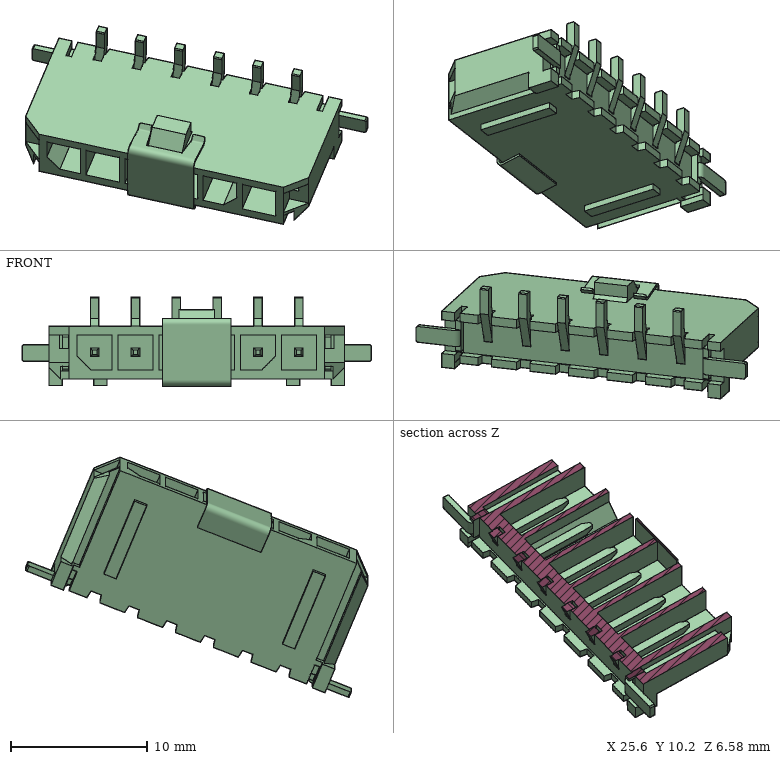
import cadquery as cq
import math


HOUSING_LENGTH = 21.73
HOUSING_DEPTH = 9.88
HOUSING_HEIGHT = 3.9
HALF_LENGTH = HOUSING_LENGTH / 2
CONTACT_Z = 1.98
CORNER_CUT = 1.5
EDGE_CHAMFER = 0.87

PIN_COUNT = 6
PITCH = 3.0
PIN_WIDTH = 0.65
CAVITY_SIZE = 2.56
CAVITY_DEPTH = 7.7
KEY_CHAMFER = 1.0
LEFT_KEYED = 0
RIGHT_KEYED = 4

PIN_TIP_Y = 2.56
TIP_LENGTH = 0.67
TIP_WIDTH = PIN_WIDTH / 2
PIN_REAR_Y = HOUSING_DEPTH + 0.1
PIN_TAIL_FRONT_Y = PIN_REAR_Y - 0.7
PIN_TOP_Z = 6.03
PIN_TOP_CHAMFER = 0.08
GUSSET_TOP_Z = 4.46
HEEL_TOP_Z = 4.08
PIN_SLOT_FRONT_Y = 8.5
FUNNEL_DEPTH = 0.6
FUNNEL_OUTER_WIDTH = 1.03
FUNNEL_INNER_WIDTH = 0.82

POCKET_FLOOR_Z = 1.23
POCKET_TOP_Z = 3.23
SIDE_WALL_X = HALF_LENGTH - CORNER_CUT
TAB_HOLE_WIDTH = 0.72
TAB_HOLE_FLOOR_Z = 2.25
CHANNEL_HEIGHT = 0.95
CHANNEL_OUTER_X = HALF_LENGTH - EDGE_CHAMFER

FOOT_DROP = 0.45
REAR_FOOT_DEPTH = 1.95
REAR_FOOT_WIDTH = 1.0
RAIL_WIDTH = 0.97
RAIL_CENTRE_X = 7.08
RAIL_FRONT_Y = 1.65
RAIL_REAR_Y = 7.62

TAB_TIP_X = 12.82
TAB_THICKNESS = 0.44
TAB_HEIGHT = 1.23
TAB_CENTRE_Z = 1.92
TAB_REAR_Y = PIN_REAR_Y
TAB_TIP_CHAMFER = 0.1
TAB_OUTER_RADIUS = 0.44
TAB_INNER_RADIUS = 0.33
BLADE_OUTER_X = 9.85
BLADE_INNER_X = BLADE_OUTER_X - TAB_THICKNESS
BLADE_REAR_Y = 9.7
BLADE_FLOOR_Z = 0.62
BLADE_REAR_FLOOR_Z = 0.85
BLADE_LEAD_IN = 0.13
BLADE_CORNER = 0.13
TAB_SLOT_FRONT_Y = 8.3
GROOVE_DEPTH = 0.72
GROOVE_FRONT_Y = HOUSING_DEPTH - GROOVE_DEPTH
GROOVE_FLOOR_Z = BLADE_FLOOR_Z

LATCH_WIDTH = 2.6
LATCH_TOP_Z = 5.1
LATCH_FRONT_Y = 0.77
LATCH_REAR_Y = 3.25
LATCH_ROOT = 0.28

CLIP_WIDTH = 5.05
CLIP_THICKNESS = 0.18
CLIP_TOP_Z = 4.46
CLIP_BOTTOM_Z = -0.55
CLIP_BEND_RADIUS = 0.45
KNEE_RADIUS = 0.35
KNEE_Y = 2.35
LIP_END_Y = 2.85
LIP_ANGLE = 45.0
LOWER_ARM_ANGLE = 11.0
LOWER_ARM_END_Y = 1.8
FORK_FRONT_WIDTH = 2.72
FORK_REAR_WIDTH = 3.25
FORK_REAR_Y = 3.08
PRONG_CORNER_RADIUS = 0.18


def box(x_range, y_range, z_range):
    """Axis-aligned block between pairs of limits."""
    (x0, x1), (y0, y1), (z0, z1) = x_range, y_range, z_range
    return cq.Workplane("XY").box(x1 - x0, y1 - y0, z1 - z0, centered=False).translate((x0, y0, z0))


def both_sides(shape):
    """The shape together with its mirror image across the YZ plane."""
    return shape.union(shape.mirror("YZ"))


def side_profile(points, width):
    """Closed (Y, Z) outline extruded symmetrically along X."""
    return cq.Workplane("YZ").polyline(points).close().extrude(width / 2, both=True)


def pin_x(index):
    return (index - (PIN_COUNT - 1) / 2) * PITCH


def housing_block():
    outline = [
        (-HALF_LENGTH, HOUSING_DEPTH),
        (-HALF_LENGTH, CORNER_CUT),
        (-SIDE_WALL_X, 0),
        (SIDE_WALL_X, 0),
        (HALF_LENGTH, CORNER_CUT),
        (HALF_LENGTH, HOUSING_DEPTH),
    ]
    return cq.Workplane("XY").polyline(outline).close().extrude(HOUSING_HEIGHT)


def lower_edge_chamfers():
    wedge = (
        cq.Workplane("XZ")
        .polyline([(CHANNEL_OUTER_X, 0), (HALF_LENGTH, 0), (HALF_LENGTH, EDGE_CHAMFER)])
        .close()
        .extrude(REAR_FOOT_DEPTH - HOUSING_DEPTH)
    )
    return both_sides(wedge)


def feet():
    rear_foot = box(
        (HALF_LENGTH - REAR_FOOT_WIDTH, HALF_LENGTH),
        (HOUSING_DEPTH - REAR_FOOT_DEPTH, HOUSING_DEPTH),
        (-FOOT_DROP, EDGE_CHAMFER),
    )
    rail = box(
        (RAIL_CENTRE_X - RAIL_WIDTH / 2, RAIL_CENTRE_X + RAIL_WIDTH / 2),
        (RAIL_FRONT_Y, RAIL_REAR_Y),
        (-FOOT_DROP, 0),
    )
    return both_sides(rear_foot.union(rail))


def latch():
    ramp_rise = LATCH_TOP_Z - HOUSING_HEIGHT
    outline = [
        (LATCH_FRONT_Y, HOUSING_HEIGHT),
        (LATCH_FRONT_Y + ramp_rise, LATCH_TOP_Z),
        (LATCH_REAR_Y, LATCH_TOP_Z),
        (LATCH_REAR_Y, HOUSING_HEIGHT + LATCH_ROOT),
        (LATCH_REAR_Y + LATCH_ROOT, HOUSING_HEIGHT),
    ]
    return side_profile(outline, LATCH_WIDTH)


def cavity(index):
    """Mating cavity; the keyed positions keep one lower corner filled."""
    half = CAVITY_SIZE / 2
    space = box((-half, half), (0, CAVITY_DEPTH), (CONTACT_Z - half, CONTACT_Z + half))
    if index == LEFT_KEYED:
        space = space.edges("|Y and <X and <Z").chamfer(KEY_CHAMFER)
    if index == RIGHT_KEYED:
        space = space.edges("|Y and >X and <Z").chamfer(KEY_CHAMFER)
    return space.translate((pin_x(index), 0, 0))


def pin_slot(index):
    """Hole for the pin, the roof slot over its bend and the rear lead-in funnel."""
    half = PIN_WIDTH / 2
    hole = box((-half, half), (CAVITY_DEPTH, PIN_SLOT_FRONT_Y), (CONTACT_Z - half, CONTACT_Z + half))
    slot = box((-half, half), (PIN_SLOT_FRONT_Y, HOUSING_DEPTH), (CONTACT_Z - half, HOUSING_HEIGHT))
    funnel_front_y = HOUSING_DEPTH - FUNNEL_DEPTH
    funnel = (
        cq.Workplane("XY")
        .polyline([
            (-FUNNEL_INNER_WIDTH / 2, funnel_front_y),
            (FUNNEL_INNER_WIDTH / 2, funnel_front_y),
            (FUNNEL_OUTER_WIDTH / 2, HOUSING_DEPTH),
            (-FUNNEL_OUTER_WIDTH / 2, HOUSING_DEPTH),
        ])
        .close()
        .extrude(HOUSING_HEIGHT)
    )
    return hole.union(slot).union(funnel).translate((pin_x(index), 0, 0))


def corner_pockets():
    """Square front corner pockets, each with a hole running back to the solder tab slot."""
    pocket = box((SIDE_WALL_X, HALF_LENGTH), (0, CORNER_CUT), (POCKET_FLOOR_Z, POCKET_TOP_Z))
    tab_hole = box(
        (SIDE_WALL_X, SIDE_WALL_X + TAB_HOLE_WIDTH),
        (CORNER_CUT, TAB_SLOT_FRONT_Y),
        (TAB_HOLE_FLOOR_Z, POCKET_TOP_Z),
    )
    return both_sides(pocket.union(tab_hole))


def side_channels():
    """Grooves in the floor beside the lower edge chamfers."""
    channel_end_y = HOUSING_DEPTH - REAR_FOOT_DEPTH
    channel = box((SIDE_WALL_X, CHANNEL_OUTER_X), (0, channel_end_y), (0, CHANNEL_HEIGHT))
    passage = box(
        (SIDE_WALL_X, CHANNEL_OUTER_X),
        (channel_end_y, TAB_SLOT_FRONT_Y),
        (GROOVE_FLOOR_Z, CHANNEL_HEIGHT),
    )
    return both_sides(channel.union(passage))


def tab_slots():
    """Upright slots for the tab blades, open at the rear."""
    slot = box(
        (BLADE_INNER_X, BLADE_OUTER_X),
        (TAB_SLOT_FRONT_Y, HOUSING_DEPTH),
        (-FOOT_DROP, HOUSING_HEIGHT),
    )
    return both_sides(slot)


def rear_groove():
    """Groove along the rear face where the tabs come out."""
    return box(
        (-HALF_LENGTH, HALF_LENGTH),
        (GROOVE_FRONT_Y, HOUSING_DEPTH),
        (GROOVE_FLOOR_Z, POCKET_TOP_Z),
    )


def make_housing():
    housing = housing_block().cut(lower_edge_chamfers()).union(feet()).union(latch())
    housing = housing.cut(corner_pockets()).cut(side_channels()).cut(tab_slots()).cut(rear_groove())
    for index in range(PIN_COUNT):
        housing = housing.cut(cavity(index)).cut(pin_slot(index))
    return housing


def make_pin(index):
    """Straight contact turned up at the rear; both sides of the turn are parallel slopes."""
    half = PIN_WIDTH / 2
    gusset_run = PIN_TAIL_FRONT_Y - PIN_SLOT_FRONT_Y
    gusset_rise = GUSSET_TOP_Z - CONTACT_Z - half
    heel_run = (HEEL_TOP_Z - CONTACT_Z + half) * gusset_run / gusset_rise
    outline = [
        (PIN_TIP_Y + TIP_LENGTH, CONTACT_Z - half),
        (PIN_REAR_Y - heel_run, CONTACT_Z - half),
        (PIN_REAR_Y, HEEL_TOP_Z),
        (PIN_REAR_Y, PIN_TOP_Z),
        (PIN_TAIL_FRONT_Y, PIN_TOP_Z),
        (PIN_TAIL_FRONT_Y, GUSSET_TOP_Z),
        (PIN_SLOT_FRONT_Y, CONTACT_Z + half),
        (PIN_TIP_Y + TIP_LENGTH, CONTACT_Z + half),
    ]
    tip = (
        cq.Workplane("XZ", origin=(0, PIN_TIP_Y, CONTACT_Z))
        .rect(TIP_WIDTH, TIP_WIDTH)
        .workplane(offset=-TIP_LENGTH)
        .rect(PIN_WIDTH, PIN_WIDTH)
        .loft(ruled=True)
    )
    shank = side_profile(outline, PIN_WIDTH).faces(">Z").edges("|X").chamfer(PIN_TOP_CHAMFER)
    return shank.union(tip).translate((pin_x(index), 0, 0))


def make_right_tab():
    """Upright blade in the housing with a strip bent outward from its rear edge."""
    strip_z = (TAB_CENTRE_Z - TAB_HEIGHT / 2, TAB_CENTRE_Z + TAB_HEIGHT / 2)
    blade = (
        cq.Workplane("YZ", origin=(BLADE_INNER_X, 0, 0))
        .moveTo(TAB_SLOT_FRONT_Y, BLADE_FLOOR_Z + BLADE_LEAD_IN)
        .lineTo(TAB_SLOT_FRONT_Y + BLADE_LEAD_IN, BLADE_FLOOR_Z)
        .lineTo(GROOVE_FRONT_Y, BLADE_FLOOR_Z)
        .lineTo(GROOVE_FRONT_Y, BLADE_REAR_FLOOR_Z)
        .lineTo(BLADE_REAR_Y - BLADE_CORNER, BLADE_REAR_FLOOR_Z)
        .radiusArc((BLADE_REAR_Y, BLADE_REAR_FLOOR_Z + BLADE_CORNER), -BLADE_CORNER)
        .lineTo(BLADE_REAR_Y, POCKET_TOP_Z)
        .lineTo(TAB_SLOT_FRONT_Y + BLADE_LEAD_IN, POCKET_TOP_Z)
        .lineTo(TAB_SLOT_FRONT_Y, POCKET_TOP_Z - BLADE_LEAD_IN)
        .close()
        .extrude(TAB_THICKNESS)
    )
    strip_front_y = TAB_REAR_Y - TAB_THICKNESS
    strip = box((BLADE_OUTER_X, TAB_TIP_X), (strip_front_y, TAB_REAR_Y), strip_z)
    strip = strip.edges("|Y and >X").chamfer(TAB_TIP_CHAMFER)
    bend_fill = box(
        (BLADE_INNER_X, BLADE_OUTER_X + TAB_INNER_RADIUS),
        (strip_front_y - TAB_INNER_RADIUS, TAB_REAR_Y),
        strip_z,
    )
    inner_round = (
        cq.Workplane("XY", origin=(0, 0, strip_z[0]))
        .center(BLADE_OUTER_X + TAB_INNER_RADIUS, strip_front_y - TAB_INNER_RADIUS)
        .circle(TAB_INNER_RADIUS)
        .extrude(TAB_HEIGHT)
    )
    bend = bend_fill.cut(inner_round).edges("|Z and <X and >Y").fillet(TAB_OUTER_RADIUS)
    return blade.union(bend).union(strip)


def point_on_bend(centre, radius, angle):
    """Point of a bend's centre line, with the angle in radians from the Y axis."""
    return (centre[0] + radius * math.cos(angle), centre[1] + radius * math.sin(angle))


def clip_sheet():
    """Constant-thickness strip bent around the front of the housing, before the fork is cut."""
    half_sheet = CLIP_THICKNESS / 2
    bend_radius = CLIP_BEND_RADIUS - half_sheet
    knee_radius = KNEE_RADIUS - half_sheet
    plate_y = -half_sheet
    upper_centre = (plate_y + bend_radius, CLIP_TOP_Z - CLIP_BEND_RADIUS)
    lower_centre = (plate_y + bend_radius, CLIP_BOTTOM_Z + CLIP_BEND_RADIUS)
    knee_centre = (KNEE_Y, HOUSING_HEIGHT + KNEE_RADIUS)

    knee_dy = knee_centre[0] - upper_centre[0]
    knee_dz = knee_centre[1] - upper_centre[1]
    tangent_ratio = (bend_radius + knee_radius) / math.hypot(knee_dy, knee_dz)
    upper_slope = math.asin(tangent_ratio) - math.atan2(knee_dz, knee_dy)
    lower_slope = math.radians(LOWER_ARM_ANGLE)
    lip_slope = math.radians(LIP_ANGLE)

    quarter = math.pi / 2
    half_turn = math.pi
    upper_angle = quarter - upper_slope
    lower_angle = -quarter + lower_slope
    knee_start_angle = -quarter - upper_slope
    knee_end_angle = -quarter + lip_slope
    lower_bend_start = point_on_bend(lower_centre, bend_radius, lower_angle)
    lower_bend_middle = point_on_bend(lower_centre, bend_radius, (lower_angle - half_turn) / 2)
    upper_bend_middle = point_on_bend(upper_centre, bend_radius, (upper_angle + half_turn) / 2)
    upper_bend_end = point_on_bend(upper_centre, bend_radius, upper_angle)
    knee_start = point_on_bend(knee_centre, knee_radius, knee_start_angle)
    knee_middle = point_on_bend(knee_centre, knee_radius, (knee_start_angle + knee_end_angle) / 2)
    knee_end = point_on_bend(knee_centre, knee_radius, knee_end_angle)
    lower_arm_rise = (LOWER_ARM_END_Y - lower_bend_start[0]) * math.tan(lower_slope)
    lower_arm_end = (LOWER_ARM_END_Y, lower_bend_start[1] + lower_arm_rise)
    lip_rise = (LIP_END_Y - knee_end[0]) * math.tan(lip_slope)

    centre_line = (
        cq.Workplane("YZ")
        .moveTo(*lower_arm_end)
        .lineTo(*lower_bend_start)
        .threePointArc(lower_bend_middle, (plate_y, lower_centre[1]))
        .lineTo(plate_y, upper_centre[1])
        .threePointArc(upper_bend_middle, upper_bend_end)
        .lineTo(*knee_start)
        .threePointArc(knee_middle, knee_end)
        .lineTo(LIP_END_Y, knee_end[1] + lip_rise)
    )
    section_plane = cq.Plane(
        origin=(0, *lower_arm_end),
        xDir=(1, 0, 0),
        normal=(0, -math.cos(lower_slope), -math.sin(lower_slope)),
    )
    return cq.Workplane(section_plane).rect(CLIP_WIDTH, CLIP_THICKNESS).sweep(centre_line)


def fork_opening():
    """Tapered opening that splits the upper arm into two prongs around the latch."""
    outline = [
        (-FORK_FRONT_WIDTH / 2, LATCH_FRONT_Y),
        (FORK_FRONT_WIDTH / 2, LATCH_FRONT_Y),
        (FORK_REAR_WIDTH / 2, FORK_REAR_Y),
        (-FORK_REAR_WIDTH / 2, FORK_REAR_Y),
    ]
    return cq.Workplane("XY", origin=(0, 0, CONTACT_Z)).polyline(outline).close().extrude(HOUSING_HEIGHT)


def make_clip():
    clip = clip_sheet().cut(fork_opening())
    return clip.faces(">Y").edges("<X or >X").fillet(PRONG_CORNER_RADIUS)


housing = make_housing()
pins = [make_pin(index) for index in range(PIN_COUNT)]
right_tab = make_right_tab()
tabs = [right_tab, right_tab.mirror("YZ")]
clip = make_clip()

bodies = [housing, *pins, *tabs, clip]
result = cq.Compound.makeCompound([body.val() for body in bodies])